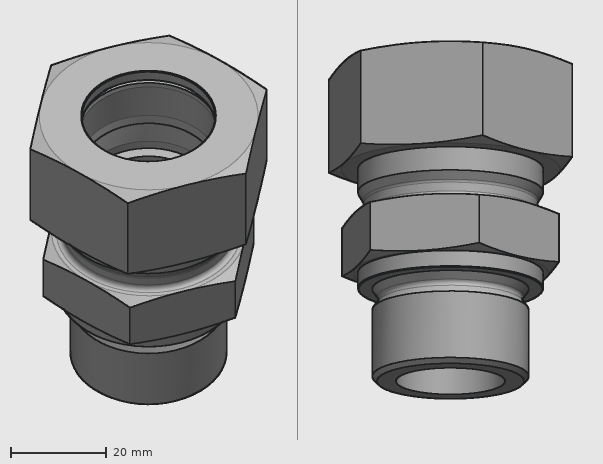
import cadquery as cq
import math


TOTAL_HEIGHT = 68.0
THREAD_DIAMETER = 39.0
TUBE_DIAMETER = 28.0
HEX_CHAMFER_ANGLE = 15.0

NUT_ACROSS_FLATS = 46.05
NUT_BOTTOM = 46.0
NUT_HOLE_DIAMETER = TUBE_DIAMETER
NUT_HOLE_CHAMFER = 0.2
NUT_HOLE_DEPTH = 2.45

BODY_ACROSS_FLATS = 41.0
STUD_DIAMETER = 33.0
STUD_CHAMFER = 1.0
STUD_TOP = 15.45
COLLAR_BOTTOM = 19.9
COLLAR_CHAMFER = 0.2
HEX_BOTTOM = 23.45
HEX_TOP = 35.55
NUT_THREAD_BOTTOM = 40.95
BODY_TOP = 53.6

STUD_GROOVE_DIAMETER = 30.3
NECK_DIAMETER = 36.7
STUD_RUNOUT_ANGLE = 35.0
NECK_RUNOUT_ANGLE = 30.0
GROOVE_RADIUS = (THREAD_DIAMETER - NECK_DIAMETER) / 2

FLOW_DIAMETER = 23.0
MOUTH_DIAMETER = 30.3
MOUTH_HALF_ANGLE = 12.0
TUBE_STOP = 46.1

RING_TOP = 64.1
RING_TIP = 53.2
RING_OUTER_DIAMETER = 34.7
RING_TOP_DIAMETER = 29.25
RING_BORE_DIAMETER = 28.8
RING_LEAD_IN = 0.9
RING_TAPER_LENGTH = 2.0


def revolve(points):
    """Solid of revolution about Z from a closed (radius, height) outline."""
    return cq.Workplane("XZ").polyline(points).close().revolve(360, (0, 0), (0, 1))


def hexagon(across_flats, bottom, top):
    """Hexagonal prism with corners on the Y axis, both ends trimmed by a shallow cone."""
    corner_radius = across_flats / math.sqrt(3)
    flat_radius = across_flats / 2
    drop = (corner_radius - flat_radius) * math.tan(math.radians(HEX_CHAMFER_ANGLE))
    prism = (
        cq.Workplane("XY", origin=(0, 0, bottom))
        .polygon(6, 2 * corner_radius)
        .extrude(top - bottom)
        .rotate((0, 0, 0), (0, 0, 1), 30)
    )
    trim = revolve([
        (0, bottom),
        (flat_radius, bottom),
        (corner_radius, bottom + drop),
        (corner_radius, top - drop),
        (flat_radius, top),
        (0, top),
    ])
    return prism.intersect(trim)


def make_body():
    stud_radius = STUD_DIAMETER / 2
    thread_radius = THREAD_DIAMETER / 2
    neck_radius = NECK_DIAMETER / 2

    stud_angle = math.radians(STUD_RUNOUT_ANGLE)
    groove_radius = STUD_GROOVE_DIAMETER / 2
    groove_middle = (STUD_TOP + COLLAR_BOTTOM) / 2
    arc_end_radius = groove_radius + GROOVE_RADIUS * (1 - math.cos(stud_angle))
    arc_half_height = GROOVE_RADIUS * math.sin(stud_angle)

    neck_angle = math.radians(NECK_RUNOUT_ANGLE)
    diagonal = GROOVE_RADIUS * (1 - math.sqrt(0.5))
    runout_radius = neck_radius + GROOVE_RADIUS * (1 - math.cos(neck_angle))
    runout_height = NUT_THREAD_BOTTOM - (thread_radius - runout_radius) / math.tan(neck_angle)
    neck_top = runout_height - GROOVE_RADIUS * math.sin(neck_angle)
    arc_middle_radius = neck_radius + GROOVE_RADIUS * (1 - math.cos(neck_angle / 2))
    arc_middle_height = neck_top + GROOVE_RADIUS * math.sin(neck_angle / 2)

    outside = (
        cq.Workplane("XZ")
        .moveTo(0, 0)
        .lineTo(stud_radius - STUD_CHAMFER, 0)
        .lineTo(stud_radius, STUD_CHAMFER)
        .lineTo(stud_radius, STUD_TOP)
        .lineTo(arc_end_radius, groove_middle - arc_half_height)
        .threePointArc((groove_radius, groove_middle), (arc_end_radius, groove_middle + arc_half_height))
        .lineTo(stud_radius, COLLAR_BOTTOM)
        .lineTo(thread_radius - COLLAR_CHAMFER, COLLAR_BOTTOM)
        .lineTo(thread_radius, COLLAR_BOTTOM + COLLAR_CHAMFER)
        .lineTo(thread_radius, HEX_TOP)
        .threePointArc(
            (neck_radius + diagonal, HEX_TOP + diagonal),
            (neck_radius, HEX_TOP + GROOVE_RADIUS),
        )
        .lineTo(neck_radius, neck_top)
        .threePointArc((arc_middle_radius, arc_middle_height), (runout_radius, runout_height))
        .lineTo(thread_radius, NUT_THREAD_BOTTOM)
        .lineTo(thread_radius, BODY_TOP)
        .lineTo(0, BODY_TOP)
        .close()
        .revolve(360, (0, 0), (0, 1))
    )

    flow_radius = FLOW_DIAMETER / 2
    tube_radius = TUBE_DIAMETER / 2
    mouth_radius = MOUTH_DIAMETER / 2
    cone_height = (mouth_radius - tube_radius) / math.tan(math.radians(MOUTH_HALF_ANGLE))
    bore = revolve([
        (0, 0),
        (flow_radius, 0),
        (flow_radius, TUBE_STOP),
        (tube_radius, TUBE_STOP),
        (tube_radius, BODY_TOP - cone_height),
        (mouth_radius, BODY_TOP),
        (0, BODY_TOP),
    ])
    return outside.union(hexagon(BODY_ACROSS_FLATS, HEX_BOTTOM, HEX_TOP)).cut(bore)


def make_nut():
    hole_radius = NUT_HOLE_DIAMETER / 2
    thread_radius = THREAD_DIAMETER / 2
    cone_top = TOTAL_HEIGHT - NUT_HOLE_DEPTH
    cone_bottom = cone_top - (thread_radius - hole_radius)
    cavity = revolve([
        (0, NUT_BOTTOM),
        (thread_radius, NUT_BOTTOM),
        (thread_radius, cone_bottom),
        (hole_radius, cone_top),
        (hole_radius, TOTAL_HEIGHT - NUT_HOLE_CHAMFER),
        (hole_radius + NUT_HOLE_CHAMFER, TOTAL_HEIGHT),
        (0, TOTAL_HEIGHT),
    ])
    return hexagon(NUT_ACROSS_FLATS, NUT_BOTTOM, TOTAL_HEIGHT).cut(cavity)


def make_cutting_ring():
    outer_radius = RING_OUTER_DIAMETER / 2
    mouth_radius = MOUTH_DIAMETER / 2
    bore_radius = RING_BORE_DIAMETER / 2
    shoulder_radius = NUT_HOLE_DIAMETER / 2 + TOTAL_HEIGHT - NUT_HOLE_DEPTH - RING_TOP
    shoulder_bottom = RING_TOP - (outer_radius - shoulder_radius)
    nose_radius = mouth_radius - (BODY_TOP - RING_TIP) * math.tan(math.radians(MOUTH_HALF_ANGLE))
    return revolve([
        (TUBE_DIAMETER / 2, RING_TIP),
        (nose_radius, RING_TIP),
        (mouth_radius, BODY_TOP),
        (outer_radius, BODY_TOP),
        (outer_radius, shoulder_bottom),
        (shoulder_radius, RING_TOP),
        (RING_TOP_DIAMETER / 2, RING_TOP),
        (bore_radius, RING_TOP - RING_LEAD_IN),
        (bore_radius, RING_TIP + RING_TAPER_LENGTH),
    ])


body = make_body()
nut = make_nut()
cutting_ring = make_cutting_ring()

result = cq.Compound.makeCompound([body.val(), nut.val(), cutting_ring.val()])